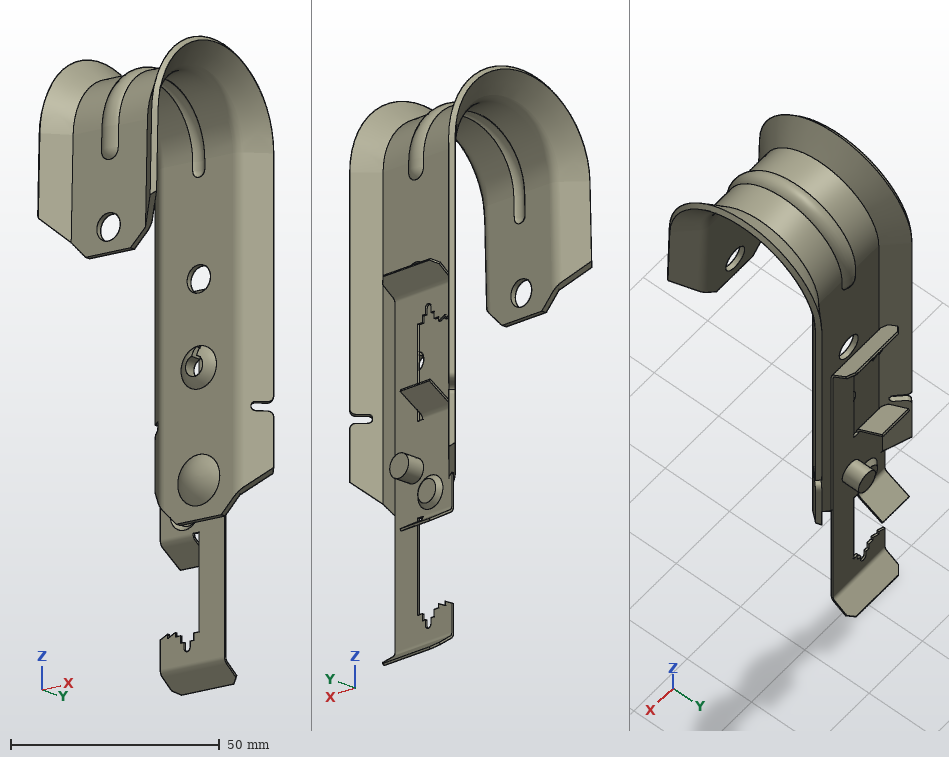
import cadquery as cq
import math

WIDTH = 36.0
SHEET = 1.5
WEB_INNER_RADIUS = 16.5
WEB_OUTER_RADIUS = WEB_INNER_RADIUS + SHEET
FOLD_RADIUS = 3.4
SHANK_LENGTH = 89.4
LEG_LENGTH = 31.5
LEG_TILT = 1.6
END_WIDTH = 13.6
HOLE_DIAMETER = 7.0
SHANK_HOLE_Z = -29.5
LEG_HOLE_Z = -25.0

FOLD_ANGLE = math.radians(45)
FLANGE_TIP_X = WIDTH / 2 - SHEET * math.sin(FOLD_ANGLE)
FLANGE_RISE = 5.7
FOLD_X = FLANGE_TIP_X - FLANGE_RISE
TIP_RADIUS = WEB_OUTER_RADIUS + FLANGE_RISE
EDGE_RADIUS = TIP_RADIUS - SHEET * math.cos(FOLD_ANGLE)

BEAD_HEIGHT = 1.01
BEAD_RADIUS = 3.7
LEG_BEAD_STRAIGHT = 5.5
SHANK_BEAD_STRAIGHT = 2.3

NOTCH_Z = -63.0
NOTCH_DEPTH = 5.5
NOTCH_WIDTH = 2.3
NOTCH_MOUTH_RADIUS = 1.5

COLLAR_Z = -51.5
COLLAR_DIAMETER = 10.7
COLLAR_DOME_HEIGHT = 2.3
COLLAR_HOLE_DIAMETER = 5.2
COLLAR_SLIT_WIDTH = 1.5

RIVET_Z = -79.5
RIVET_DIAMETER = 6.5
RIVET_HEAD_DIAMETER = 12.7
RIVET_HEAD_HEIGHT = 2.3
RIVET_TAIL_Y = TIP_RADIUS

CLIP_SHEET = 0.6
CLIP_Y = WEB_OUTER_RADIUS
CLIP_LEFT = -12.9
CLIP_RIGHT = 6.6
CLIP_ARM_LEFT = -1.15
TAB_BEND_RADIUS = 2.0
JAW_TAB_Z = -92.0
JAW_TAB_RIGHT = -2.9
JAW_TAB_LENGTH = 8.0
JAW_TAB_ANGLE = math.radians(60)
JAW_FLOOR_Z = -116.8
END_TAB_Z = -124.3
END_TAB_LENGTH = 6.3
END_TAB_ANGLE = math.radians(55)
END_TAB_CHAMFER = 1.8
TOOTH_HEIGHT = 1.0
TOOTH_PITCH = 2.3
SLOT_X = -4.8
SLOT_WIDTH = 1.8
SLOT_DEPTH = 2.5
STEP_WIDTH = 4.0
STEP_DEPTH = 1.8
DIMPLE_X = -5.5
DIMPLE_Z = -86.5
DIMPLE_RADIUS = 4.3
DIMPLE_DEPTH = 1.2


def along_y(y, x=0, z=0):
    """Sketch plane facing +Y: its local axes are -X and Z, and extrusions run towards +Y."""
    return cq.Workplane(cq.Plane(origin=(x, y, z), xDir=(-1, 0, 0), normal=(0, 1, 0)))


def channel_profile():
    """Cross-section of the bent sheet on the XY plane, web at its inner and outer radius."""
    half_fold_tan = math.tan(FOLD_ANGLE / 2)
    inner_fold_x = FOLD_X + SHEET * half_fold_tan
    tangent = FOLD_RADIUS * half_fold_tan
    web_end_x = inner_fold_x - tangent
    flange_start = (
        inner_fold_x + tangent * math.cos(FOLD_ANGLE),
        WEB_INNER_RADIUS + tangent * math.sin(FOLD_ANGLE),
    )
    middle = (
        web_end_x + FOLD_RADIUS * math.sin(FOLD_ANGLE / 2),
        WEB_INNER_RADIUS + FOLD_RADIUS * (1 - math.cos(FOLD_ANGLE / 2)),
    )
    return (
        cq.Workplane("XY")
        .moveTo(-web_end_x, WEB_INNER_RADIUS)
        .lineTo(web_end_x, WEB_INNER_RADIUS)
        .threePointArc(middle, flange_start)
        .lineTo(WIDTH / 2, EDGE_RADIUS)
        .lineTo(FLANGE_TIP_X, TIP_RADIUS)
        .lineTo(FOLD_X, WEB_OUTER_RADIUS)
        .lineTo(-FOLD_X, WEB_OUTER_RADIUS)
        .lineTo(-FLANGE_TIP_X, TIP_RADIUS)
        .lineTo(-WIDTH / 2, EDGE_RADIUS)
        .lineTo(-flange_start[0], flange_start[1])
        .threePointArc((-middle[0], middle[1]), (-web_end_x, WEB_INNER_RADIUS))
        .close()
    )


def to_leg(straight):
    """Carry a straight piece from the shank side over to the tilted leg."""
    return straight.mirror("XZ").rotate((0, 0, 0), (1, 0, 0), -LEG_TILT)


def around_bend(profile):
    return profile.revolve(180 - LEG_TILT, (0, 0, 0), (1, 0, 0))


def straight_piece(length):
    """Channel of the given length with its free end tapered at 45 degrees."""
    taper = (WIDTH - END_WIDTH) / 2
    outline = (
        along_y(0)
        .polyline([
            (-WIDTH / 2, 0),
            (WIDTH / 2, 0),
            (WIDTH / 2, taper - length),
            (END_WIDTH / 2, -length),
            (-END_WIDTH / 2, -length),
            (-WIDTH / 2, taper - length),
        ])
        .close()
        .extrude(2 * TIP_RADIUS)
    )
    return channel_profile().extrude(-length).intersect(outline)


def bead(radius):
    """Rod of circular-segment section over the bend, with straight run-outs and round ends."""
    center = WEB_OUTER_RADIUS + BEAD_HEIGHT - BEAD_RADIUS
    half_chord = math.sqrt(radius**2 - (center - WEB_INNER_RADIUS) ** 2)
    half_angle = math.asin(half_chord / radius)
    crest = (0, center + radius)

    def section():
        return (
            cq.Workplane("XY")
            .moveTo(-half_chord, WEB_INNER_RADIUS)
            .threePointArc(crest, (half_chord, WEB_INNER_RADIUS))
            .close()
        )

    def run_out(length):
        end = (
            cq.Workplane("XY", origin=(0, 0, -length))
            .moveTo(0, WEB_INNER_RADIUS)
            .lineTo(half_chord, WEB_INNER_RADIUS)
            .threePointArc(
                (radius * math.sin(half_angle / 2), center + radius * math.cos(half_angle / 2)), crest
            )
            .close()
            .revolve(360, (0, 0, 0), (0, 1, 0))
        )
        return section().extrude(-length).union(end)

    shank_end = run_out(SHANK_BEAD_STRAIGHT)
    leg_end = to_leg(run_out(LEG_BEAD_STRAIGHT))
    return around_bend(section()).union(shank_end).union(leg_end)


def flange_notches():
    """Round-ended slots with rounded mouths, cut square through both shank flanges from the edge."""
    half = NOTCH_WIDTH / 2
    mouth = NOTCH_MOUTH_RADIUS
    bow = mouth * (1 - math.sin(math.radians(45)))
    slot_end_center = half - NOTCH_DEPTH
    flange_plane = cq.Plane(
        origin=(WIDTH / 2, EDGE_RADIUS, NOTCH_Z),
        xDir=(math.cos(FOLD_ANGLE), math.sin(FOLD_ANGLE), 0),
        normal=(math.sin(FOLD_ANGLE), -math.cos(FOLD_ANGLE), 0),
    )
    right = (
        cq.Workplane(flange_plane)
        .moveTo(0, half + mouth)
        .threePointArc((-bow, half + bow), (-mouth, half))
        .lineTo(slot_end_center, half)
        .threePointArc((-NOTCH_DEPTH, 0), (slot_end_center, -half))
        .lineTo(-mouth, -half)
        .threePointArc((-bow, -half - bow), (0, -half - mouth))
        .close()
        .extrude(2 * SHEET, both=True)
    )
    return right.union(right.mirror("YZ"))


def cylinder_along_y(diameter, z):
    return along_y(0, z=z).circle(diameter / 2).extrude(2 * TIP_RADIUS)


def dome(diameter, height, z):
    """Spherical cap standing on the -Y face of the shank."""
    base_radius = diameter / 2
    sphere_radius = (base_radius**2 + height**2) / (2 * height)
    half_angle = math.asin(base_radius / sphere_radius) / 2
    top_y = WEB_INNER_RADIUS - height
    middle = (
        sphere_radius * math.sin(half_angle),
        top_y + sphere_radius * (1 - math.cos(half_angle)),
    )
    return (
        cq.Workplane("XY", origin=(0, 0, z))
        .moveTo(0, top_y)
        .threePointArc(middle, (base_radius, WEB_INNER_RADIUS))
        .lineTo(0, WEB_INNER_RADIUS)
        .close()
        .revolve(360, (0, 0, 0), (0, 1, 0))
    )


def collar_slit():
    return (
        along_y(WEB_INNER_RADIUS, z=COLLAR_Z + COLLAR_DIAMETER / 4)
        .rect(COLLAR_SLIT_WIDTH, COLLAR_DIAMETER / 2)
        .extrude(2 * COLLAR_DOME_HEIGHT, both=True)
    )


def make_hook():
    shank = straight_piece(SHANK_LENGTH).cut(flange_notches())
    shank = shank.union(dome(COLLAR_DIAMETER, COLLAR_DOME_HEIGHT, COLLAR_Z)).cut(collar_slit())
    shank = shank.cut(cylinder_along_y(COLLAR_HOLE_DIAMETER, COLLAR_Z))
    shank = shank.cut(cylinder_along_y(HOLE_DIAMETER, SHANK_HOLE_Z))
    shank = shank.cut(cylinder_along_y(RIVET_DIAMETER, RIVET_Z))
    leg = straight_piece(LEG_LENGTH).cut(cylinder_along_y(HOLE_DIAMETER, LEG_HOLE_Z))
    body = around_bend(channel_profile()).union(shank).union(to_leg(leg))
    return body.union(bead(BEAD_RADIUS)).cut(bead(BEAD_RADIUS - SHEET))


def make_rivet():
    """Domed head on the -Y face of the shank and a plain tail along Y."""
    tail = (
        along_y(WEB_INNER_RADIUS, z=RIVET_Z)
        .circle(RIVET_DIAMETER / 2)
        .extrude(RIVET_TAIL_Y - WEB_INNER_RADIUS)
    )
    return tail.union(dome(RIVET_HEAD_DIAMETER, RIVET_HEAD_HEIGHT, RIVET_Z))


def bent_tab(left, right, z, length, bend_angle):
    """Tab that curls from the plate towards +Y and slopes down from there."""
    sin_bend = math.sin(bend_angle)
    cos_bend = math.cos(bend_angle)
    center_y = CLIP_Y + TAB_BEND_RADIUS

    def on_bend(radius, angle):
        return (center_y - radius * math.cos(angle), z - radius * math.sin(angle))

    def tip(radius):
        start = on_bend(radius, bend_angle)
        return (start[0] + length * sin_bend, start[1] - length * cos_bend)

    inner = TAB_BEND_RADIUS - CLIP_SHEET
    return (
        cq.Workplane("YZ", origin=(left, 0, 0))
        .moveTo(*on_bend(TAB_BEND_RADIUS, 0))
        .threePointArc(
            on_bend(TAB_BEND_RADIUS, bend_angle / 2), on_bend(TAB_BEND_RADIUS, bend_angle)
        )
        .lineTo(*tip(TAB_BEND_RADIUS))
        .lineTo(*tip(inner))
        .lineTo(*on_bend(inner, bend_angle))
        .threePointArc(on_bend(inner, bend_angle / 2), on_bend(inner, 0))
        .close()
        .extrude(right - left)
    )


def clip_half():
    """Lower half of the clip: plate with a C-shaped toothed opening and two bent tabs."""
    tooth_tip_z = JAW_FLOOR_Z + TOOTH_HEIGHT
    step_z = JAW_FLOOR_Z - STEP_DEPTH
    slot_end_z = step_z - SLOT_DEPTH + SLOT_WIDTH / 2
    plate = (
        cq.Workplane("XZ", origin=(0, CLIP_Y, 0))
        .moveTo(CLIP_LEFT, JAW_TAB_Z)
        .lineTo(CLIP_LEFT, RIVET_Z)
        .lineTo(CLIP_RIGHT, RIVET_Z)
        .lineTo(CLIP_RIGHT, END_TAB_Z)
        .lineTo(CLIP_LEFT, END_TAB_Z)
        .lineTo(CLIP_LEFT, JAW_FLOOR_Z)
        .lineTo(CLIP_LEFT + TOOTH_PITCH, tooth_tip_z)
        .lineTo(CLIP_LEFT + TOOTH_PITCH, JAW_FLOOR_Z)
        .lineTo(CLIP_LEFT + 2 * TOOTH_PITCH, tooth_tip_z)
        .lineTo(CLIP_LEFT + 2 * TOOTH_PITCH, JAW_FLOOR_Z)
        .lineTo(SLOT_X - STEP_WIDTH / 2, JAW_FLOOR_Z)
        .lineTo(SLOT_X - STEP_WIDTH / 2, step_z)
        .lineTo(SLOT_X - SLOT_WIDTH / 2, step_z)
        .lineTo(SLOT_X - SLOT_WIDTH / 2, slot_end_z)
        .threePointArc((SLOT_X, slot_end_z - SLOT_WIDTH / 2), (SLOT_X + SLOT_WIDTH / 2, slot_end_z))
        .lineTo(SLOT_X + SLOT_WIDTH / 2, step_z)
        .lineTo(SLOT_X + STEP_WIDTH / 2, step_z)
        .lineTo(SLOT_X + STEP_WIDTH / 2, JAW_FLOOR_Z)
        .lineTo(CLIP_ARM_LEFT, JAW_FLOOR_Z)
        .lineTo(CLIP_ARM_LEFT, JAW_TAB_Z)
        .close()
        .extrude(-CLIP_SHEET)
    )
    jaw_tab = bent_tab(CLIP_LEFT, JAW_TAB_RIGHT, JAW_TAB_Z, JAW_TAB_LENGTH, JAW_TAB_ANGLE)
    end_tab = bent_tab(CLIP_LEFT, CLIP_RIGHT, END_TAB_Z, END_TAB_LENGTH, END_TAB_ANGLE)
    tip = cq.selectors.DirectionMinMaxSelector(
        cq.Vector(0, math.sin(END_TAB_ANGLE), -math.cos(END_TAB_ANGLE))
    )
    end_tab = end_tab.faces(tip).edges("not |X").chamfer(END_TAB_CHAMFER)
    return plate.union(jaw_tab).union(end_tab)


def dimple_cone(y):
    """Cone frustum narrowing towards +Y from its base at the given Y."""
    return (
        along_y(y, DIMPLE_X, DIMPLE_Z)
        .circle(DIMPLE_RADIUS)
        .workplane(offset=DIMPLE_DEPTH)
        .circle(DIMPLE_RADIUS - DIMPLE_DEPTH)
        .loft()
    )


def make_clip(hook):
    """Two mirrored halves with a rivet hole and a dimple pressed towards +Y."""
    lower = clip_half()
    clip = lower.union(lower.mirror("XY", (0, 0, RIVET_Z)))
    clip = clip.cut(cylinder_along_y(RIVET_DIAMETER, RIVET_Z))
    clip = clip.union(dimple_cone(CLIP_Y + CLIP_SHEET)).cut(dimple_cone(CLIP_Y))
    return clip.cut(hook)


hook = make_hook()
rivet = make_rivet()
clip = make_clip(hook)

result = cq.Compound.makeCompound([hook.solids().val(), rivet.solids().val(), clip.solids().val()])